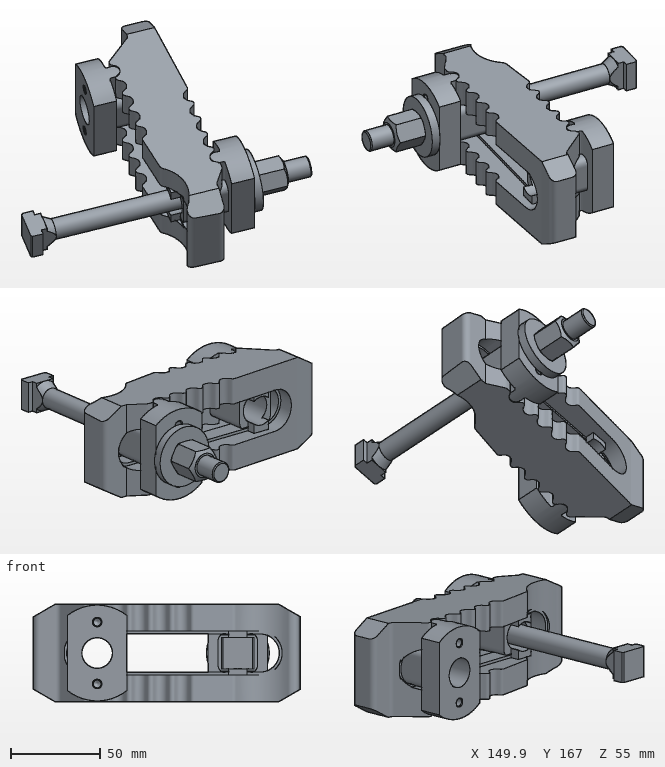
import cadquery as cq
import math


SIN45 = math.sin(math.radians(45))
TAN30 = math.tan(math.radians(30))

ARM_WIDTH = 55.0
ARM_HALF_HEIGHT = 18.0
ARM_LEFT = -114.9
ARM_RIGHT = 35.2
HEEL_TOP = 14.5
HEEL_BOTTOM = -2.0
HEEL_RAMP_TOP_X = -102.4
HEEL_RAMP_BOTTOM_X = -100.4
TOE_TOP = 11.5
TOE_TOP_START_X = 19.0
TOE_TIP_X = 34.2
TOE_TIP_Y = -9.5
TOE_HOLLOW_RADIUS = 20.9
TOE_HOLLOW_X = 16.2
TOE_HOLLOW_TOP = -5.0
BELLY_END_Y = -14.9
BACK_END_X = 8.9
CHIN_X = -86.0
CORNER_RADIUS = 3.5
END_BEVEL_LENGTH = 12.4
END_BEVEL_WIDTH = 7.2

PITCH = 12.0
VALLEY_RADIUS = 4.0
CREST_RADIUS = VALLEY_RADIUS / 2
FLANK_ANGLE = math.radians(56)
TOP_GROOVES = 5
BOTTOM_GROOVES = 5
VALLEY_ARC_X = VALLEY_RADIUS * math.sin(FLANK_ANGLE)
CREST_ARC_X = PITCH / 2 - CREST_RADIUS * math.sin(FLANK_ANGLE)
CREST_ARC_Y = ARM_HALF_HEIGHT - CREST_RADIUS * (1 - math.cos(FLANK_ANGLE))
VALLEY_ARC_Y = CREST_ARC_Y - (CREST_ARC_X - VALLEY_ARC_X) * math.tan(FLANK_ANGLE)
VALLEY_Y = VALLEY_ARC_Y - VALLEY_RADIUS * (1 - math.cos(FLANK_ANGLE))

SLOT_LEFT_X = -85.3
SLOT_RIGHT_X = 12.5
SLOT_HALF_WIDTH = 10.7
POCKET_HALF_WIDTH = 12.4
LEDGE_HALF_HEIGHT = 5.5

LOWER_SADDLE_X = -79.0
SADDLE_RADIUS = 26.9
SADDLE_WIDTH = 33.4
SADDLE_BOTTOM = 21.0
SADDLE_TOP = 34.5
SADDLE_BORE_RADIUS = 8.5
RIB_HALF_WIDTH = 4.0
RIB_ROOT_RADIUS = 1.0
BOSS_SIZE = 22.2
BOSS_CORNER_RADIUS = 4.3
BOSS_SLOT_CLEARANCE = 0.7
LEG_WIDTH = 10.4
HOOK_LENGTH = 5.5
DIMPLE_OFFSET = 17.4
DIMPLE_RADIUS = 2.2
DIMPLE_MOUTH_RADIUS = 2.7
DIMPLE_DEPTH = 5.0
DIMPLE_TIP = 1.3

BOLT_RADIUS = 6.0
BOLT_TOP = 72.1
BOLT_BOTTOM = BOLT_TOP - 167
BOLT_TIP_CHAMFER = 0.7
WASHER_RADIUS = 17.7
WASHER_BORE_RADIUS = 6.5
WASHER_THICKNESS = 5.0
NUT_HEIGHT = 18.2
NUT_ACROSS_FLATS = 18.0
NUT_TOP_RADIUS = 7.2
NUT_BOTTOM_RADIUS = 9.4
HEAD_LENGTH = 18.2
HEAD_WIDTH = 17.7
HEAD_HEIGHT = 7.0
HEAD_CHAMFER = 0.8
NECK_TOP = -84.3
CONE_TOP = -79.0


def prism_y(size_x, size_z, y_from, y_to):
    """Rectangular block of the given X and Z sizes, between two Y levels."""
    return (cq.Workplane("XY")
            .box(size_x, y_to - y_from, size_z)
            .translate((0, (y_from + y_to) / 2, 0)))


def cylinder_y(radius, y_from, y_to):
    """Cylinder on the Y axis between two Y levels."""
    profile = cq.Workplane("XY").moveTo(0, y_from).lineTo(radius, y_from)
    profile = profile.lineTo(radius, y_to).lineTo(0, y_to).close()
    return profile.revolve(360, (0, 0, 0), (0, 1, 0))


def arm_blank():
    """Side outline of the arm without teeth, extruded across its width."""
    hollow_axis_y = TOE_HOLLOW_TOP - TOE_HOLLOW_RADIUS

    def hollow_reach(y):
        return math.sqrt(TOE_HOLLOW_RADIUS ** 2 - (y - hollow_axis_y) ** 2)

    tip_start = (TOE_HOLLOW_X + hollow_reach(TOE_TIP_Y), TOE_TIP_Y)
    belly_end = (TOE_HOLLOW_X - hollow_reach(BELLY_END_Y), BELLY_END_Y)
    first_crest_x = -(TOP_GROOVES - 0.5) * PITCH
    last_crest_x = LOWER_SADDLE_X + (BOTTOM_GROOVES - 0.5) * PITCH

    blank = (
        cq.Workplane("XY").workplane(offset=-ARM_WIDTH / 2)
        .moveTo(ARM_LEFT, HEEL_BOTTOM)
        .lineTo(ARM_LEFT, HEEL_TOP)
        .lineTo(HEEL_RAMP_TOP_X, HEEL_TOP)
        .lineTo(first_crest_x, ARM_HALF_HEIGHT)
        .lineTo(BACK_END_X, ARM_HALF_HEIGHT)
        .lineTo(TOE_TOP_START_X, TOE_TOP)
        .lineTo(ARM_RIGHT, TOE_TOP)
        .lineTo(TOE_TIP_X, TOE_TIP_Y)
        .lineTo(*tip_start)
        .threePointArc((TOE_HOLLOW_X, TOE_HOLLOW_TOP), belly_end)
        .lineTo(last_crest_x, -ARM_HALF_HEIGHT)
        .lineTo(CHIN_X, -ARM_HALF_HEIGHT)
        .lineTo(HEEL_RAMP_BOTTOM_X, HEEL_BOTTOM)
        .close()
        .extrude(ARM_WIDTH)
    )

    rounded_corners = [
        (ARM_LEFT, HEEL_TOP),
        (ARM_LEFT, HEEL_BOTTOM),
        (HEEL_RAMP_BOTTOM_X, HEEL_BOTTOM),
        (BACK_END_X, ARM_HALF_HEIGHT),
        (ARM_RIGHT, TOE_TOP),
        (TOE_TIP_X, TOE_TIP_Y),
        tip_start,
        belly_end,
    ]
    for corner in rounded_corners:
        blank = round_corner(blank, corner, CORNER_RADIUS)
    return round_corner(blank, (CHIN_X, -ARM_HALF_HEIGHT), CREST_RADIUS)


def round_corner(body, corner, radius):
    """Fillet the edge along Z that passes through one corner of the outline."""
    nearest = cq.selectors.NearestToPointSelector((corner[0], corner[1], 0))
    return body.edges("|Z").edges(nearest).fillet(radius)


def groove_cutter(x):
    """One groove of the top teeth: round valley, straight flanks, half a crest each side."""
    half_angle = FLANK_ANGLE / 2
    crest_mid_x = PITCH / 2 - CREST_RADIUS * math.sin(half_angle)
    crest_mid_y = ARM_HALF_HEIGHT - CREST_RADIUS * (1 - math.cos(half_angle))
    return (
        cq.Workplane("XY").workplane(offset=-ARM_WIDTH / 2)
        .moveTo(-PITCH / 2, ARM_HALF_HEIGHT)
        .threePointArc((-crest_mid_x, crest_mid_y), (-CREST_ARC_X, CREST_ARC_Y))
        .lineTo(-VALLEY_ARC_X, VALLEY_ARC_Y)
        .threePointArc((0, VALLEY_Y), (VALLEY_ARC_X, VALLEY_ARC_Y))
        .lineTo(CREST_ARC_X, CREST_ARC_Y)
        .threePointArc((crest_mid_x, crest_mid_y), (PITCH / 2, ARM_HALF_HEIGHT))
        .close()
        .extrude(ARM_WIDTH)
        .translate((x, 0, 0))
    )


def turned_over(body):
    """Half turn about the Z axis, from the +Y side to the -Y side."""
    return body.rotate((0, 0, 0), (0, 0, 1), 180)


def slot_cutter(half_width, y_from, y_to):
    """Slot with rounded ends, running along X and cut along Y."""
    length = SLOT_RIGHT_X - SLOT_LEFT_X + 2 * half_width
    middle_x = (SLOT_LEFT_X + SLOT_RIGHT_X) / 2
    return (cq.Workplane("XZ", origin=(middle_x, y_from, 0))
            .slot2D(length, 2 * half_width)
            .extrude(y_from - y_to))


def end_bevel(end_x, inward, side):
    """Wedge that bevels one corner of the arm over its full height."""
    edge_z = side * ARM_WIDTH / 2
    return (
        cq.Workplane("XZ", origin=(0, ARM_HALF_HEIGHT, 0))
        .moveTo(end_x, edge_z)
        .lineTo(end_x + inward * END_BEVEL_LENGTH, edge_z)
        .lineTo(end_x, edge_z - side * END_BEVEL_WIDTH)
        .close()
        .extrude(2 * ARM_HALF_HEIGHT)
    )


def make_arm():
    arm = arm_blank()
    for i in range(TOP_GROOVES):
        arm = arm.cut(groove_cutter(-i * PITCH))
    for i in range(BOTTOM_GROOVES):
        bottom_groove = turned_over(groove_cutter(0))
        arm = arm.cut(bottom_groove.translate((LOWER_SADDLE_X + i * PITCH, 0, 0)))
    arm = arm.cut(slot_cutter(SLOT_HALF_WIDTH, -ARM_HALF_HEIGHT, ARM_HALF_HEIGHT))
    arm = arm.cut(slot_cutter(POCKET_HALF_WIDTH, LEDGE_HALF_HEIGHT, ARM_HALF_HEIGHT))
    arm = arm.cut(slot_cutter(POCKET_HALF_WIDTH, -ARM_HALF_HEIGHT, -LEDGE_HALF_HEIGHT))
    for side in (-1, 1):
        arm = arm.cut(end_bevel(ARM_LEFT, 1, side))
        arm = arm.cut(end_bevel(ARM_RIGHT, -1, side))
    return arm


def saddle_rib():
    """Rib whose tip fills the bottom of one groove, with filleted roots at the block."""
    flank_y = VALLEY_ARC_Y + (RIB_HALF_WIDTH - VALLEY_ARC_X) * math.tan(FLANK_ANGLE)
    root_x = RIB_HALF_WIDTH + RIB_ROOT_RADIUS
    root_y = SADDLE_BOTTOM - RIB_ROOT_RADIUS
    root_mid_x = root_x - RIB_ROOT_RADIUS * SIN45
    root_mid_y = root_y + RIB_ROOT_RADIUS * SIN45
    return (
        cq.Workplane("XY").workplane(offset=-SADDLE_RADIUS)
        .moveTo(-VALLEY_ARC_X, VALLEY_ARC_Y)
        .threePointArc((0, VALLEY_Y), (VALLEY_ARC_X, VALLEY_ARC_Y))
        .lineTo(RIB_HALF_WIDTH, flank_y)
        .lineTo(RIB_HALF_WIDTH, root_y)
        .threePointArc((root_mid_x, root_mid_y), (root_x, SADDLE_BOTTOM))
        .lineTo(-root_x, SADDLE_BOTTOM)
        .threePointArc((-root_mid_x, root_mid_y), (-RIB_HALF_WIDTH, root_y))
        .lineTo(-RIB_HALF_WIDTH, flank_y)
        .close()
        .extrude(2 * SADDLE_RADIUS)
    )


def saddle_boss():
    """Rounded square boss standing on the ledge, its narrower end reaching through the slot."""
    boss = prism_y(BOSS_SIZE, BOSS_SIZE, -LEDGE_HALF_HEIGHT, SADDLE_BOTTOM)
    boss = boss.edges("|Y").fillet(BOSS_CORNER_RADIUS)
    end_width = 2 * (SLOT_HALF_WIDTH - BOSS_SLOT_CLEARANCE)
    seat = prism_y(BOSS_SIZE, BOSS_SIZE, LEDGE_HALF_HEIGHT, SADDLE_BOTTOM)
    end = prism_y(BOSS_SIZE, end_width, -LEDGE_HALF_HEIGHT, LEDGE_HALF_HEIGHT)
    return boss.intersect(seat.union(end))


def dimple_cutter(z):
    """Countersunk blind hole with a conical bottom in the outer face of the saddle."""
    mouth_depth = DIMPLE_MOUTH_RADIUS - DIMPLE_RADIUS
    return (
        cq.Workplane("XY")
        .moveTo(0, SADDLE_TOP)
        .lineTo(DIMPLE_MOUTH_RADIUS, SADDLE_TOP)
        .lineTo(DIMPLE_RADIUS, SADDLE_TOP - mouth_depth)
        .lineTo(DIMPLE_RADIUS, SADDLE_TOP - DIMPLE_DEPTH)
        .lineTo(0, SADDLE_TOP - DIMPLE_DEPTH - DIMPLE_TIP)
        .close()
        .revolve(360, (0, 0, 0), (0, 1, 0))
        .translate((0, 0, z))
    )


def make_saddle():
    """Saddle for the +Y side of the arm, on the Y axis."""
    disc = cylinder_y(SADDLE_RADIUS, VALLEY_Y, SADDLE_TOP)
    block = prism_y(SADDLE_WIDTH, 2 * SADDLE_RADIUS, SADDLE_BOTTOM, SADDLE_TOP)
    saddle = block.union(saddle_rib()).intersect(disc).union(saddle_boss())

    hook_end_y = -LEDGE_HALF_HEIGHT - HOOK_LENGTH
    hooks = prism_y(LEG_WIDTH, 2 * POCKET_HALF_WIDTH, hook_end_y, -LEDGE_HALF_HEIGHT)
    saddle = saddle.union(hooks)

    saddle = saddle.cut(cylinder_y(SADDLE_BORE_RADIUS, hook_end_y, SADDLE_TOP))
    for z in (-DIMPLE_OFFSET, DIMPLE_OFFSET):
        saddle = saddle.cut(dimple_cutter(z))
    return saddle


def make_washer():
    top = SADDLE_TOP + WASHER_THICKNESS
    bore = cylinder_y(WASHER_BORE_RADIUS, SADDLE_TOP, top)
    return cylinder_y(WASHER_RADIUS, SADDLE_TOP, top).cut(bore)


def make_nut():
    """Hexagon nut with corners on the X axis and 30 degree chamfers at both ends."""
    bottom = SADDLE_TOP + WASHER_THICKNESS
    top = bottom + NUT_HEIGHT
    corner_radius = NUT_ACROSS_FLATS / 2 / math.cos(math.radians(30))
    hexagon = (cq.Workplane("XZ", origin=(0, bottom, 0))
               .polygon(6, 2 * corner_radius)
               .extrude(-NUT_HEIGHT))
    turned_envelope = (
        cq.Workplane("XY")
        .moveTo(0, bottom)
        .lineTo(NUT_BOTTOM_RADIUS, bottom)
        .lineTo(corner_radius, bottom + (corner_radius - NUT_BOTTOM_RADIUS) * TAN30)
        .lineTo(corner_radius, top - (corner_radius - NUT_TOP_RADIUS) * TAN30)
        .lineTo(NUT_TOP_RADIUS, top)
        .lineTo(0, top)
        .close()
        .revolve(360, (0, 0, 0), (0, 1, 0))
    )
    return hexagon.intersect(turned_envelope).cut(cylinder_y(BOLT_RADIUS, bottom, top))


def make_bolt():
    """T-bolt: shank, cone trimmed to the neck, flat-sided neck and rectangular head."""
    head_top = BOLT_BOTTOM + HEAD_HEIGHT
    shank = cylinder_y(BOLT_RADIUS, NECK_TOP, BOLT_TOP)
    shank = shank.faces(">Y").chamfer(BOLT_TIP_CHAMFER)
    cone = (
        cq.Workplane("XY")
        .moveTo(0, NECK_TOP)
        .lineTo(HEAD_WIDTH / 2, NECK_TOP)
        .lineTo(BOLT_RADIUS, CONE_TOP)
        .lineTo(0, CONE_TOP)
        .close()
        .revolve(360, (0, 0, 0), (0, 1, 0))
    )
    cone = cone.intersect(prism_y(2 * BOLT_RADIUS, HEAD_WIDTH, NECK_TOP, CONE_TOP))
    neck = prism_y(2 * BOLT_RADIUS, HEAD_WIDTH, head_top, NECK_TOP)
    head = prism_y(HEAD_LENGTH, HEAD_WIDTH, BOLT_BOTTOM, head_top)
    head = head.faces("<Y").edges("|Z").chamfer(HEAD_CHAMFER)
    return shank.union(cone).union(neck).union(head)


arm = make_arm()
upper_saddle = make_saddle()
lower_saddle = turned_over(make_saddle()).translate((LOWER_SADDLE_X, 0, 0))
washer = make_washer()
nut = make_nut()
bolt = make_bolt()

bodies = [arm, upper_saddle, lower_saddle, washer, nut, bolt]
result = cq.Compound.makeCompound([body.solids().val() for body in bodies])